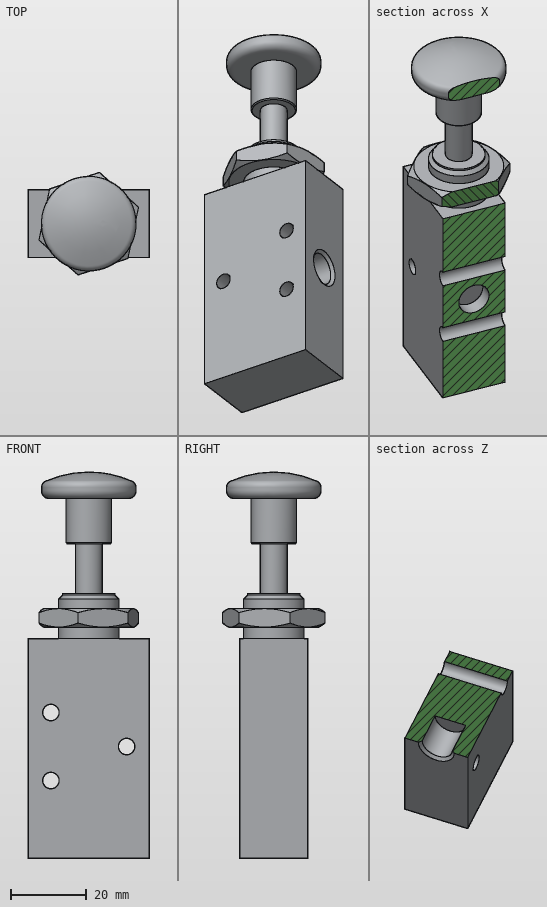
import cadquery as cq
import math

block_width = 32.0
block_depth = 18.0
bottom_cap_height = 7.0
middle_height = 45.0
top_cap_height = 6.0
middle_top = bottom_cap_height + middle_height
block_top = middle_top + top_cap_height
middle_center = bottom_cap_height + middle_height / 2

mounting_hole_diameter = 4.3
mounting_hole_offset = 10.0
mounting_hole_pitch = 18.0
mounting_hole_places = [
    (-mounting_hole_offset, middle_center - mounting_hole_pitch / 2),
    (-mounting_hole_offset, middle_center + mounting_hole_pitch / 2),
    (mounting_hole_offset, middle_center),
]

port_diameter = 8.6
port_mouth_diameter = 10.2
port_depth = 10.0
port_chamfer = (port_mouth_diameter - port_diameter) / 2

neck_diameter = 16.0
lip_diameter = 14.0
neck_height = 11.9
lip_height = 0.5
neck_chamfer = (neck_diameter - lip_diameter) / 2
neck_top = block_top + neck_height
chamfer_top = neck_top - lip_height

button_top = 102.0
rod_diameter = 7.1
collar_diameter = 12.0
collar_bottom = 83.0
collar_chamfer = 0.3
knob_diameter = 25.0
knob_bottom = 95.0
knob_rim_radius = 2.0
knob_band_height = 0.9
dome_diameter = 22.4
dome_height = 2.3

nut_across_flats = 24.0
nut_end_diameter = 23.8
nut_height = 5.0
nut_gap = 3.0
nut_corner_angle = 18.3
nut_chamfer_angle = 30
nut_bottom = block_top + nut_gap


def make_block():
    """Stack the sections unmerged, so the joints between them stay as edges."""
    block = None
    base = 0
    for height in (bottom_cap_height, middle_height, top_cap_height):
        section = (
            cq.Workplane("XY", origin=(0, 0, base))
            .rect(block_width, block_depth)
            .extrude(height)
        )
        block = section if block is None else block.union(section, clean=False)
        base += height
    return block


def make_mounting_holes():
    return (
        cq.Workplane("XZ")
        .pushPoints(mounting_hole_places)
        .circle(mounting_hole_diameter / 2)
        .extrude(block_depth / 2, both=True)
    )


def make_port():
    """Blind bore with a 45 degree chamfered mouth, as one revolved cutter."""
    mouth = -block_width / 2
    return (
        cq.Workplane("XY", origin=(0, 0, middle_center))
        .moveTo(mouth, 0)
        .lineTo(mouth, port_mouth_diameter / 2)
        .lineTo(mouth + port_chamfer, port_diameter / 2)
        .lineTo(mouth + port_depth, port_diameter / 2)
        .lineTo(mouth + port_depth, 0)
        .close()
        .revolve(360, (0, 0), (1, 0))
    )


def make_neck():
    return (
        cq.Workplane("XZ")
        .moveTo(0, block_top)
        .lineTo(neck_diameter / 2, block_top)
        .lineTo(neck_diameter / 2, chamfer_top - neck_chamfer)
        .lineTo(lip_diameter / 2, chamfer_top)
        .lineTo(lip_diameter / 2, neck_top)
        .lineTo(0, neck_top)
        .close()
        .revolve(360, (0, 0), (0, 1))
    )


def make_button():
    """Revolve rod, collar and knob; the dome meets the rounded rim at a faint ridge."""
    rod_radius = rod_diameter / 2
    collar_radius = collar_diameter / 2
    knob_radius = knob_diameter / 2
    band_bottom = knob_bottom + knob_rim_radius
    band_top = band_bottom + knob_band_height

    dome_edge_radius = dome_diameter / 2
    dome_edge = button_top - dome_height
    dome_radius = (dome_edge_radius**2 + dome_height**2) / (2 * dome_height)
    half_angle = math.asin(dome_edge_radius / dome_radius) / 2
    dome_middle = (
        dome_radius * math.sin(half_angle),
        button_top - dome_radius * (1 - math.cos(half_angle)),
    )

    return (
        cq.Workplane("XZ")
        .moveTo(0, neck_top)
        .lineTo(rod_radius, neck_top)
        .lineTo(rod_radius, collar_bottom)
        .lineTo(collar_radius - collar_chamfer, collar_bottom)
        .lineTo(collar_radius, collar_bottom + collar_chamfer)
        .lineTo(collar_radius, knob_bottom)
        .lineTo(knob_radius - knob_rim_radius, knob_bottom)
        .tangentArcPoint((knob_radius, band_bottom), relative=False)
        .lineTo(knob_radius, band_top)
        .tangentArcPoint((dome_edge_radius, dome_edge), relative=False)
        .threePointArc(dome_middle, (0, button_top))
        .close()
        .revolve(360, (0, 0), (0, 1))
    )


def make_valve():
    block = make_block().cut(make_mounting_holes(), clean=False).cut(make_port(), clean=False)
    return block.union(make_neck(), clean=False).union(make_button(), clean=False)


def make_nut():
    """Hexagon with both ends turned down to a cone, bored to sit on the neck."""
    end_radius = nut_end_diameter / 2
    corner_radius = nut_across_flats / math.sqrt(3)
    corner_drop = (corner_radius - end_radius) * math.tan(math.radians(nut_chamfer_angle))
    hexagon = (
        cq.Workplane("XY")
        .polygon(6, 2 * corner_radius)
        .extrude(nut_height)
        .rotate((0, 0, 0), (0, 0, 1), nut_corner_angle)
    )
    turned_ends = (
        cq.Workplane("XZ")
        .moveTo(0, 0)
        .lineTo(end_radius, 0)
        .lineTo(corner_radius, corner_drop)
        .lineTo(corner_radius, nut_height - corner_drop)
        .lineTo(end_radius, nut_height)
        .lineTo(0, nut_height)
        .close()
        .revolve(360, (0, 0), (0, 1))
    )
    bore = cq.Workplane("XY").circle(neck_diameter / 2).extrude(nut_height)
    return hexagon.intersect(turned_ends).cut(bore).translate((0, 0, nut_bottom))


valve = make_valve()
nut = make_nut()
result = cq.Compound.makeCompound([*valve.solids().vals(), *nut.solids().vals()])